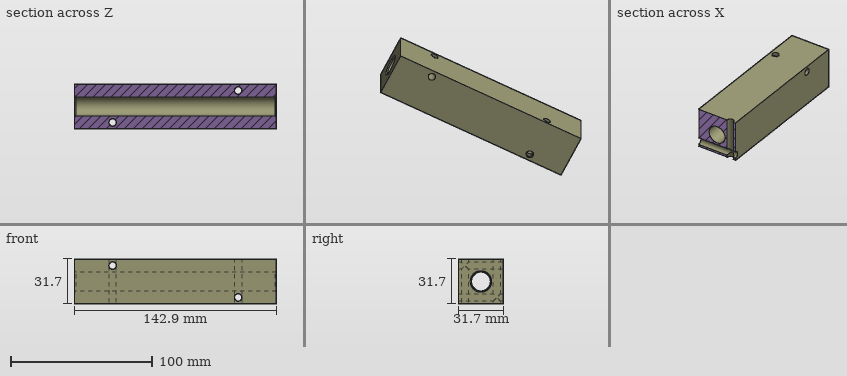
import cadquery as cq

length = 142.9
width = 31.7

bore_diameter = 13.3
mouth_diameter = 15.1
mouth_chamfer = (mouth_diameter - bore_diameter) / 2

cross_hole_diameter = 5.1
cross_hole_spacing = 88.9
cross_hole_edge_distance = 4.6
hole_x = cross_hole_spacing / 2
hole_side = width / 2 - cross_hole_edge_distance


def make_bored_bar():
    bar = cq.Workplane("YZ").rect(width, width).circle(bore_diameter / 2).extrude(length / 2, both=True)
    return bar.edges("%CIRCLE").chamfer(mouth_chamfer)


def cross_holes(plane, points):
    """Cylinders crossing the whole bar, normal to the given plane."""
    holes = cq.Workplane(plane).pushPoints(points)
    return holes.circle(cross_hole_diameter / 2).extrude(width, both=True)


vertical_holes = cross_holes("XY", [(-hole_x, -hole_side), (hole_x, hole_side)])
horizontal_holes = cross_holes("XZ", [(-hole_x, hole_side), (hole_x, -hole_side)])

result = make_bored_bar().cut(vertical_holes).cut(horizontal_holes)